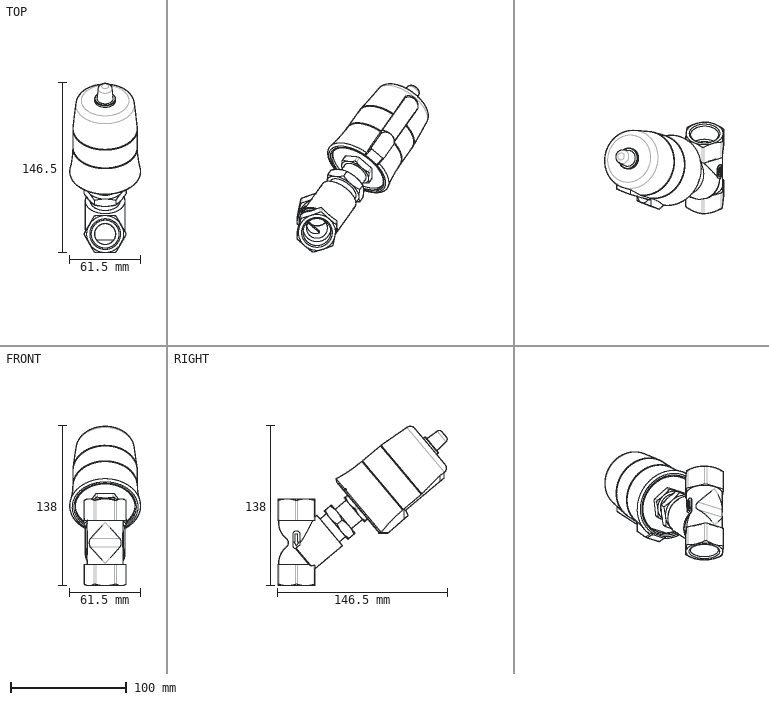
import cadquery as cq
import math

valve_length = 75.0
hex_across_flats = 32.0
hex_length = 19.0
hex_edge_radius = 2.0
end_chamfer_angle = 30.0
pipe_diameter = 31.0
bore_diameter = 18.0
socket_diameter = 24.12
socket_mouth_diameter = 26.6
socket_depth = 15.5

waist_center_z = -0.5
waist_wall_distance = 7.1
waist_half_height = 17.7
waist_valley_radius = 4.75

web_face_distance = 5.0
web_half_height = 3.0
web_flank_angle = 48.0

pad_width = 6.4
pad_length = 15.6
pad_center_z = 2.0
pad_face_x = 15.75
arrow_depth = 0.2
arrow_shaft_width = 2.2
arrow_head_width = 4.2
arrow_head_length = 3.2
arrow_length = 10.0

axis_rise_angle = 40.0
axis_origin_z = -13.9

branch_start = 4.8
branch_end = 37.5
nut_start = 44.6
nut_end = 52.9
small_nut_start = 65.3
actuator_start = 69.0
lower_groove = 97.6
upper_groove = 118.6
actuator_end = 150.75
flange_end = 152.9
knob_end = 166.86

branch_diameter = 34.5
branch_chamfer = 0.7
neck_diameter = 26.0
nut_across_flats = 32.0
shaft_diameter = 22.0
small_nut_across_flats = 27.0

rim_radius = 61.51 / 2
rim_height = 1.6
rim_face_radius = 28.5
band_radius = 28.0
lower_shell_middle_radius = 28.65
upper_shell_middle_radius = 26.8
top_radius = 25.4
top_edge_radius = 4.8
recess_diameter = 51.7
recess_depth = 2.4
recess_mouth_diameter = 54.0
recess_mouth_height = 0.4
groove_width = 0.7
groove_depth = 0.3

flange_diameter = 18.2
flange_chamfer = 0.4
knob_base_diameter = 14.2
knob_shoulder_diameter = 12.1
knob_top_diameter = 6.1
knob_round_height = 2.8

lug_width = 14.6
lug_end_diameter = 18.0
lug_sole_chamfer = 1.0
upper_lug_outline = [(127.8, 55.6), (127.8, 66.0), (100.0, 50.0), (84.0, 36.0), (94.3, 27.5)]
lower_lug_outline = [(96.7, 23.2), (94.6, 27.5), (86.0, 40.0), (70.0, 20.0), (71.0, 7.6), (78.9, 7.6)]


def cylinder(diameter, start, end):
    return cq.Workplane("XY").workplane(offset=start).circle(diameter / 2).extrude(end - start)


def corner_cone(across_flats, face_z, direction):
    """Cone that trims hexagon corners; its circle on the face touches the flats."""
    reach = across_flats
    slope = math.tan(math.radians(end_chamfer_angle))
    radius = across_flats / 2
    return (
        cq.Workplane("XZ")
        .moveTo(0, face_z)
        .lineTo(radius, face_z)
        .lineTo(radius + reach, face_z - direction * reach * slope)
        .lineTo(0, face_z - direction * reach * slope)
        .close()
        .revolve(360, (0, 0, 0), (0, 1, 0))
    )


def hexagon(across_flats, start, end, edge_radius=0.0):
    """Hexagonal prism along Z with its corners on the X axis."""
    across_corners = across_flats / math.cos(math.radians(30))
    prism = cq.Workplane("XY").workplane(offset=start).polygon(6, across_corners).extrude(end - start)
    if edge_radius > 0:
        prism = prism.edges("|Z").fillet(edge_radius)
    return prism


def along_inclined_axis(shape):
    """Move a shape built along Z onto the inclined axis."""
    return shape.rotate((0, 0, 0), (1, 0, 0), axis_rise_angle - 90).translate((0, 0, axis_origin_z))


def waist_cutter():
    """Prism across X that pinches the front wall of the pipe."""
    depth = pipe_diameter / 2 - waist_wall_distance
    angle = 2 * math.atan(depth / waist_half_height)
    shoulder_radius = waist_half_height / math.sin(angle) - waist_valley_radius
    shoulder_center_y = shoulder_radius - pipe_diameter / 2

    def shoulder_point(side, turn):
        y = shoulder_center_y - shoulder_radius * math.cos(turn)
        return (y, waist_center_z + side * (waist_half_height - shoulder_radius * math.sin(turn)))

    front_y = -pipe_diameter
    top_z = waist_center_z + waist_half_height
    bottom_z = waist_center_z - waist_half_height
    return (
        cq.Workplane("YZ")
        .moveTo(*shoulder_point(1, angle))
        .threePointArc(shoulder_point(1, angle / 2), shoulder_point(1, 0))
        .lineTo(front_y, top_z)
        .lineTo(front_y, bottom_z)
        .lineTo(*shoulder_point(-1, 0))
        .threePointArc(shoulder_point(-1, angle / 2), shoulder_point(-1, angle))
        .threePointArc((-waist_wall_distance, waist_center_z), shoulder_point(1, angle))
        .close()
        .extrude(pipe_diameter, both=True)
    )


def waist_web():
    """Prism across X that narrows the bore, with a flat face and sloping flanks."""
    reach = pipe_diameter / 2 - web_face_distance
    base_half_height = web_half_height + reach / math.tan(math.radians(web_flank_angle))
    return (
        cq.Workplane("YZ")
        .center(-web_face_distance, waist_center_z)
        .polyline([
            (0, web_half_height),
            (0, -web_half_height),
            (-reach, -base_half_height),
            (-reach, base_half_height),
        ])
        .close()
        .extrude(pipe_diameter, both=True)
    )


def end_hexagon(direction):
    outer_z = direction * valve_length / 2
    inner_z = outer_z - direction * hex_length
    prism = hexagon(hex_across_flats, min(outer_z, inner_z), max(outer_z, inner_z), hex_edge_radius)
    return prism.intersect(corner_cone(hex_across_flats, outer_z, direction))


def flow_pad(side):
    """Raised pad with an engraved arrow pointing toward -Z."""
    pad = (
        cq.Workplane("YZ")
        .center(0, pad_center_z)
        .slot2D(pad_length, pad_width, 90)
        .extrude(side * pad_face_x)
    )
    half_length = arrow_length / 2
    neck = -half_length + arrow_head_length
    arrow = (
        cq.Workplane("YZ")
        .workplane(offset=side * (pad_face_x - arrow_depth))
        .center(0, pad_center_z)
        .polyline([
            (0, -half_length),
            (arrow_head_width / 2, neck),
            (arrow_shaft_width / 2, neck),
            (arrow_shaft_width / 2, half_length),
            (-arrow_shaft_width / 2, half_length),
            (-arrow_shaft_width / 2, neck),
            (-arrow_head_width / 2, neck),
        ])
        .close()
        .extrude(side * 2 * arrow_depth)
    )
    return pad.cut(arrow)


def socket(direction):
    """Stepped bore at one end, with a 45 degree mouth chamfer."""
    face_z = direction * valve_length / 2
    mouth_height = (socket_mouth_diameter - socket_diameter) / 2
    return (
        cq.Workplane("XZ")
        .moveTo(0, face_z)
        .lineTo(socket_mouth_diameter / 2, face_z)
        .lineTo(socket_diameter / 2, face_z - direction * mouth_height)
        .lineTo(socket_diameter / 2, face_z - direction * socket_depth)
        .lineTo(0, face_z - direction * socket_depth)
        .close()
        .revolve(360, (0, 0, 0), (0, 1, 0))
    )


def passage():
    """Flow passage: the bore, narrowed behind the pinched wall, and both sockets."""
    bore = cylinder(bore_diameter, -valve_length / 2, valve_length / 2)
    bore = bore.cut(waist_web())
    return bore.union(socket(1)).union(socket(-1))


def branch():
    body = cylinder(branch_diameter, branch_start, branch_end).faces("<Z").chamfer(branch_chamfer)
    return body.union(cylinder(neck_diameter, branch_end, nut_start))


def bonnet_nut():
    nut = hexagon(nut_across_flats, nut_start, nut_end)
    nut = nut.intersect(corner_cone(nut_across_flats, nut_end, 1))
    return nut.intersect(corner_cone(nut_across_flats, nut_start, -1))


def small_nut():
    top = actuator_start + recess_depth
    nut = hexagon(small_nut_across_flats, small_nut_start, top, hex_edge_radius)
    return nut.intersect(corner_cone(small_nut_across_flats, small_nut_start, -1))


def actuator():
    rim_top = actuator_start + rim_height
    shoulder = actuator_end - top_edge_radius
    round_middle = top_edge_radius * math.cos(math.radians(45))
    round_center_radius = top_radius - top_edge_radius
    floor = actuator_start + recess_depth
    housing = (
        cq.Workplane("XZ")
        .moveTo(0, floor)
        .lineTo(recess_diameter / 2, floor)
        .lineTo(recess_diameter / 2, actuator_start + recess_mouth_height)
        .lineTo(recess_mouth_diameter / 2, actuator_start)
        .lineTo(rim_face_radius, actuator_start)
        .lineTo(rim_radius, rim_top)
        .threePointArc((lower_shell_middle_radius, (rim_top + lower_groove) / 2), (band_radius, lower_groove))
        .lineTo(band_radius, upper_groove)
        .threePointArc((upper_shell_middle_radius, (upper_groove + shoulder) / 2), (top_radius, shoulder))
        .threePointArc(
            (round_center_radius + round_middle, shoulder + round_middle),
            (round_center_radius, actuator_end),
        )
        .lineTo(0, actuator_end)
        .close()
        .revolve(360, (0, 0, 0), (0, 1, 0))
    )
    for station in (lower_groove, upper_groove):
        groove = (
            cq.Workplane("XY")
            .workplane(offset=station - groove_width / 2)
            .circle(rim_radius)
            .circle(band_radius - groove_depth)
            .extrude(groove_width)
        )
        housing = housing.cut(groove)
    return housing


def indicator():
    flange = cylinder(flange_diameter, actuator_end, flange_end).faces(">Z").chamfer(flange_chamfer)
    shoulder = knob_end - knob_round_height
    shoulder_radius = knob_shoulder_diameter / 2
    top_flat_radius = knob_top_diameter / 2
    round_width = shoulder_radius - top_flat_radius
    middle = math.cos(math.radians(45))
    knob = (
        cq.Workplane("XZ")
        .moveTo(0, actuator_end)
        .lineTo(knob_base_diameter / 2, actuator_end)
        .lineTo(shoulder_radius, shoulder)
        .threePointArc(
            (top_flat_radius + round_width * middle, shoulder + knob_round_height * middle),
            (top_flat_radius, knob_end),
        )
        .lineTo(0, knob_end)
        .close()
        .revolve(360, (0, 0, 0), (0, 1, 0))
    )
    return flange.union(knob)


def lug(outline):
    """Block centred on X whose upright outer end is part of a cylinder."""
    block = cq.Workplane("YZ").polyline(outline).close().extrude(lug_width / 2, both=True)
    bounds = block.val().BoundingBox()
    half_width = lug_width / 2
    end_radius = lug_end_diameter / 2
    corner_y = bounds.ymax - end_radius + math.sqrt(end_radius**2 - half_width**2)
    plan = (
        cq.Workplane("XY")
        .workplane(offset=bounds.zmin)
        .moveTo(-half_width, bounds.ymin)
        .lineTo(half_width, bounds.ymin)
        .lineTo(half_width, corner_y)
        .threePointArc((0, bounds.ymax), (-half_width, corner_y))
        .close()
        .extrude(bounds.zlen)
    )
    return block.intersect(plan)


def upper_lug():
    return lug(upper_lug_outline)


def lower_lug():
    return lug(lower_lug_outline).faces("<Z").edges("|Y").chamfer(lug_sole_chamfer)


inclined = (
    branch()
    .union(bonnet_nut())
    .union(cylinder(shaft_diameter, nut_end, actuator_start + recess_depth))
    .union(small_nut())
    .union(actuator())
    .union(indicator())
)

valve = cylinder(pipe_diameter, -valve_length / 2, valve_length / 2)
valve = valve.union(flow_pad(1)).union(flow_pad(-1))
valve = valve.cut(waist_cutter())
valve = valve.union(end_hexagon(1)).union(end_hexagon(-1))
valve = valve.union(along_inclined_axis(inclined))
valve = valve.cut(passage())

result = valve.union(upper_lug()).union(lower_lug())